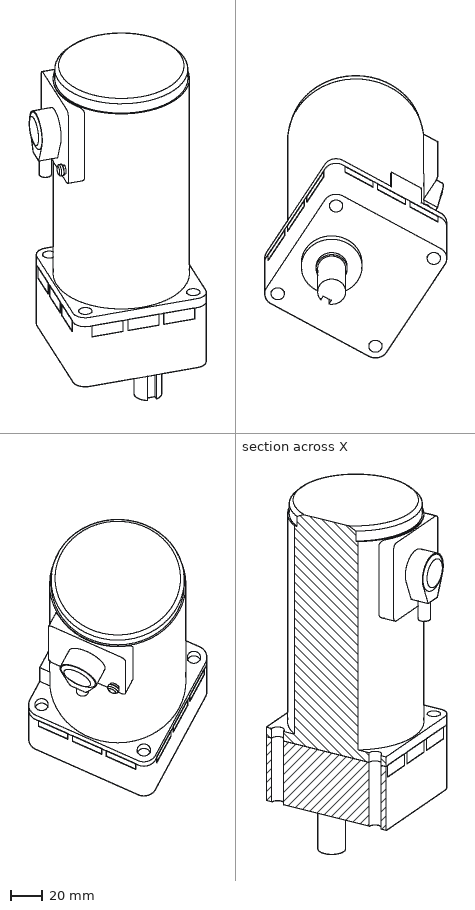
import cadquery as cq
import math

total_height = 251.0

square_side = 90.0
square_half = square_side / 2
bolt_offset = 36.6
bolt_hole_diameter = 8.5
corner_radius = square_half - bolt_offset

shaft_radius = 9.0
shaft_offset_y = 18.0
collar_radius = 10.0
collar_bottom = 34.0
pilot_radius = 19.5
pilot_bottom = 37.0
case_bottom = 42.0
case_top = 79.0
gearhead_top = 87.3

keyway_width = 6.0
keyway_depth = 3.5
keyway_length = 24.5

window_count = 3
window_width = 21.0
window_pitch = 24.3
window_depth = 0.3

flange_top = 94.0
motor_radius = 44.0
rear_cover_bottom = 182.5
rear_cover_top = 241.5
cap_radius = 43.0
cap_chamfer = 2.5

tab_width = 22.3
tab_top = 115.2

box_side = 55.2
box_center_z = 213.0
box_face = 45.2
box_depth = 12.0
box_corner_radius = 3.3

outlet_radius = 13.0
outlet_length = 12.8
outlet_lid_radius = 12.3
outlet_lid_face_radius = 9.5
outlet_lid_height = 1.38
neck_end_width = 11.5
neck_start_drop = 6.0
neck_bottom = 193.5
cable_radius = 4.0
cable_bottom = 179.0

screw_x = 20.0
screw_z = 193.0
screw_neck_radius = 3.0
screw_neck_length = 1.5
screw_head_radius = 3.8
screw_crown_radius = 2.8
screw_rim_end = 3.3
screw_crown_start = 4.3
screw_tip = 5.0


def square_block(bottom, top):
    """Square block with rounded corners and the four through bolt holes."""
    bolt_pitch = 2 * bolt_offset
    return (
        cq.Workplane("XY", origin=(0, 0, bottom))
        .rect(square_side, square_side)
        .extrude(top - bottom)
        .edges("|Z")
        .fillet(corner_radius)
        .faces(">Z")
        .workplane()
        .rect(bolt_pitch, bolt_pitch, forConstruction=True)
        .vertices()
        .hole(bolt_hole_diameter)
    )


def cylinder(radius, bottom, top, y=0.0):
    """Upright cylinder between two heights."""
    return cq.Workplane("XY", origin=(0, y, bottom)).circle(radius).extrude(top - bottom)


def outward_cylinder(radius, start, end, x, z):
    """Cylinder pointing to -Y between two distances from the motor axis."""
    return cq.Workplane("XZ", origin=(x, -start, z)).circle(radius).extrude(end - start)


def window_row():
    """Cutters for the row of windows in the -Y face of the top plate."""
    return (
        cq.Workplane("XY", origin=(0, -square_half, case_top))
        .rarray(window_pitch, 2.5, window_count, 1)
        .rect(window_width, 2 * window_depth)
        .extrude(gearhead_top - case_top)
    )


def make_top_plate():
    plate = square_block(case_top, gearhead_top)
    for side in range(4):
        plate = plate.cut(window_row().rotate((0, 0, 0), (0, 0, 1), 90 * side))
    return plate


def make_output_shaft():
    """Pilot, collar and keyed shaft, all on the offset output axis."""
    keyway = cq.Workplane("XY").box(
        2 * keyway_depth, keyway_width, keyway_length, centered=(True, True, False)
    )
    return (
        cylinder(shaft_radius, 0, case_bottom, shaft_offset_y)
        .union(cylinder(collar_radius, collar_bottom, case_bottom, shaft_offset_y))
        .union(cylinder(pilot_radius, pilot_bottom, case_bottom, shaft_offset_y))
        .cut(keyway.translate((shaft_radius, shaft_offset_y, 0)))
    )


def make_gearhead():
    case = square_block(case_bottom, case_top).union(make_output_shaft())
    return case.union(make_top_plate(), clean=False)


def make_flange():
    """Motor flange with the lead outlet tab flush with its -X face."""
    tab = cq.Workplane("XY", origin=(-square_half, -tab_width, gearhead_top)).box(
        square_half, tab_width, tab_top - gearhead_top, centered=False
    )
    return square_block(gearhead_top, flange_top).union(tab)


def make_terminal_box():
    return (
        cq.Workplane("XZ", origin=(0, box_depth - box_face, box_center_z))
        .rect(box_side, box_side)
        .extrude(box_depth)
        .edges("|Y")
        .fillet(box_corner_radius)
    )


def make_cable_outlet():
    """Round outlet with a conical lid, a tapering neck and a cable stub below it."""
    outlet_end = box_face + outlet_length
    barrel = outward_cylinder(outlet_radius, box_face, outlet_end, 0, box_center_z)
    lid = (
        cq.Workplane("XZ", origin=(0, -outlet_end, box_center_z))
        .circle(outlet_lid_radius)
        .workplane(offset=outlet_lid_height)
        .circle(outlet_lid_face_radius)
        .loft()
    )
    start_height = box_center_z - neck_start_drop
    half_width = math.sqrt(outlet_radius**2 - neck_start_drop**2)
    neck = (
        cq.Workplane("XZ", origin=(0, -box_face, 0))
        .moveTo(-half_width, start_height)
        .lineTo(half_width, start_height)
        .lineTo(neck_end_width / 2, neck_bottom)
        .lineTo(-neck_end_width / 2, neck_bottom)
        .close()
        .extrude(outlet_length)
    )
    cable = cylinder(cable_radius, cable_bottom, neck_bottom, -box_face - outlet_length / 2)
    return barrel.union(lid).union(neck).union(cable)


def make_earth_screw():
    """Screw with a narrow neck and a bevelled, slightly pointed head, revolved from a half profile."""
    half_profile = (
        cq.Workplane("XY", origin=(screw_x, -box_face, screw_z))
        .lineTo(screw_neck_radius, 0)
        .lineTo(screw_neck_radius, -screw_neck_length)
        .lineTo(screw_head_radius, -screw_neck_length)
        .lineTo(screw_head_radius, -screw_rim_end)
        .lineTo(screw_crown_radius, -screw_crown_start)
        .lineTo(0, -screw_tip)
        .close()
    )
    return half_profile.revolve(360, (0, 0), (0, 1))


def make_motor():
    cap = cylinder(cap_radius, rear_cover_top, total_height)
    cap = cap.faces(">Z").edges().chamfer(cap_chamfer)
    rear_cover = (
        cylinder(motor_radius, rear_cover_bottom, rear_cover_top)
        .union(cap)
        .union(make_terminal_box())
        .union(make_cable_outlet())
        .union(make_earth_screw())
    )
    barrel = make_flange().union(cylinder(motor_radius, flange_top, rear_cover_bottom))
    return barrel.union(rear_cover, clean=False)


gearhead = make_gearhead()
motor = make_motor()

result = cq.Compound.makeCompound([gearhead.val(), motor.val()])